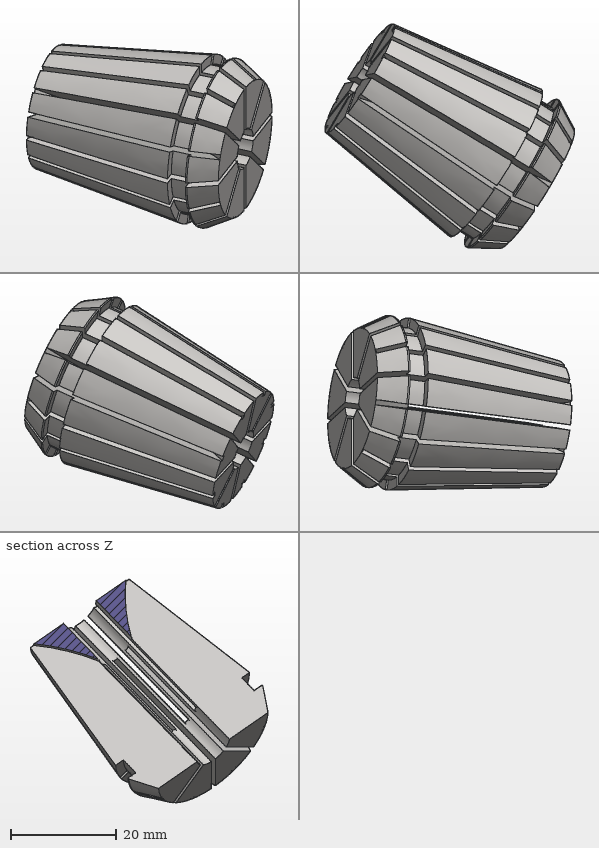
import cadquery as cq
import math

length = 40.0
major_diameter = 33.0
major_radius = major_diameter / 2
bore_radius = 4.0

taper_length = 30.8
taper_half_angle = 8.0
groove_end = 34.5
groove_radius = 14.6
rim_end = 34.8
nose_half_angle = 30.0

small_end_radius = major_radius - taper_length * math.tan(math.radians(taper_half_angle))
nose_end_radius = major_radius - (length - rim_end) * math.tan(math.radians(nose_half_angle))

slots_per_set = 8
slot_pitch = 360.0 / slots_per_set
slot_width = 1.0
slot_clearance = 2.0
slot_top = major_radius + slot_clearance
saw_radius = 40.0
nose_slot_floor_radius = 11.35
nose_slot_floor_length = 10.7
tail_slot_floor_length = 9.9


def make_body():
    """Revolve the outer outline and the bore about the X axis."""
    outline = [
        (0, bore_radius),
        (0, small_end_radius),
        (taper_length, major_radius),
        (taper_length, groove_radius),
        (groove_end, groove_radius),
        (groove_end, major_radius),
        (rim_end, major_radius),
        (length, nose_end_radius),
        (length, bore_radius),
    ]
    return cq.Workplane("XY").polyline(outline).close().revolve(360, (0, 0, 0), (1, 0, 0))


def make_slot(open_x, shallow_x, shallow_radius, floor_length):
    """Slot above the X axis: full depth at open_x, its floor rising to shallow_radius at shallow_x."""
    toward_open = math.copysign(1, open_x - shallow_x)
    deep_x = shallow_x + toward_open * floor_length
    rise = shallow_radius - bore_radius
    chord = math.hypot(floor_length, rise)
    sag = saw_radius - math.sqrt(saw_radius**2 - (chord / 2) ** 2)
    floor_middle = (
        (shallow_x + deep_x) / 2 - toward_open * sag * rise / chord,
        (shallow_radius + bore_radius) / 2 - sag * floor_length / chord,
    )
    return (
        cq.Workplane("XZ")
        .moveTo(open_x, 0)
        .lineTo(open_x, slot_top)
        .lineTo(shallow_x, slot_top)
        .lineTo(shallow_x, shallow_radius)
        .threePointArc(floor_middle, (deep_x, bore_radius))
        .lineTo(deep_x, 0)
        .close()
        .extrude(slot_width / 2, both=True)
    )


def cut_slot_set(body, slot, first_angle):
    """Cut one slot repeatedly, evenly spaced around the X axis."""
    for index in range(slots_per_set):
        angle = first_angle + index * slot_pitch
        body = body.cut(slot.rotate((0, 0, 0), (1, 0, 0), angle))
    return body


nose_slot = make_slot(length, 0, nose_slot_floor_radius, nose_slot_floor_length)
tail_slot = make_slot(0, length, nose_end_radius, tail_slot_floor_length)

result = make_body()
result = cut_slot_set(result, nose_slot, 0)
result = cut_slot_set(result, tail_slot, slot_pitch / 2)